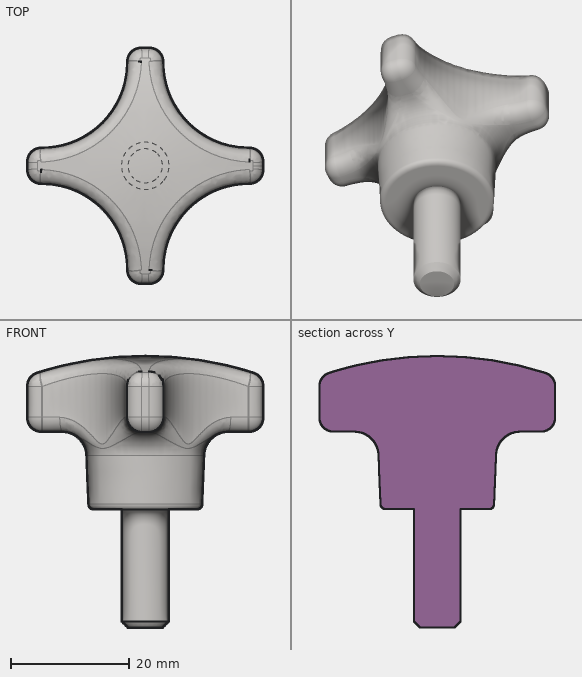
import cadquery as cq
import math

total_height = 46.0
span = 39.97

stud_diameter = 8.0
stud_chamfer = 1.1
stud_overlap = 0.45

hub_bottom_z = 20.0
hub_bottom_radius = 9.6
hub_top_radius = 10.0
hub_edge_fillet = 0.9

arm_bottom_z = 33.1
arm_half_width = 3.1
scallop_center = 17.4
dome_radius = 60.0
flare_radius = 4.0
tip_corner_radius = 2.5
rim_fillet = 2.5
blank_margin = 0.45

top_edge_zone = 4.6
bottom_edge_zone = 0.45

tip = span / 2
scallop_radius = scallop_center - arm_half_width
rim_min_radius = hub_top_radius + 0.9
flare_bottom_z = arm_bottom_z - flare_radius
blank_radius = math.hypot(tip, arm_half_width) + blank_margin
blank_edge_z = total_height - dome_radius + math.sqrt(dome_radius**2 - blank_radius**2)
dome_mid_radius = blank_radius / 2
dome_mid_z = total_height - dome_radius + math.sqrt(dome_radius**2 - dome_mid_radius**2)


def plan_radius(edge):
    """Distance of an edge's center from the part's axis."""
    center = edge.Center()
    return math.hypot(center.x, center.y)


def round_rim(body, low_z, high_z):
    """Round the outline edges of the arms whose centers lie between two heights."""
    rim = body.edges().filter(
        lambda edge: low_z < edge.Center().z < high_z and plan_radius(edge) > rim_min_radius
    )
    return body.newObject(rim.vals()).fillet(rim_fillet)


def turned_blank():
    """Domed disc flaring down into the tapered hub."""
    flare_outer_radius = hub_top_radius + flare_radius
    flare_mid_offset = flare_radius * math.sqrt(0.5)
    flare_mid = (flare_outer_radius - flare_mid_offset, flare_bottom_z + flare_mid_offset)
    return (
        cq.Workplane("XZ")
        .moveTo(0, hub_bottom_z)
        .lineTo(hub_bottom_radius, hub_bottom_z)
        .lineTo(hub_top_radius, flare_bottom_z)
        .threePointArc(flare_mid, (flare_outer_radius, arm_bottom_z))
        .lineTo(blank_radius, arm_bottom_z)
        .lineTo(blank_radius, blank_edge_z)
        .threePointArc((dome_mid_radius, dome_mid_z), (0, total_height))
        .close()
        .revolve(360, (0, 0, 0), (0, 1, 0))
    )


def arm_prism():
    """Four-armed outline with scalloped flanks and rounded tip corners."""
    scallop_mid = scallop_center - scallop_radius * math.sqrt(0.5)
    outline = cq.Workplane("XY").workplane(offset=hub_bottom_z).moveTo(tip, -arm_half_width)

    def turned(x, y, quarter):
        angle = quarter * math.pi / 2
        return (
            x * math.cos(angle) - y * math.sin(angle),
            x * math.sin(angle) + y * math.cos(angle),
        )

    for quarter in range(4):
        outline = (
            outline.lineTo(*turned(tip, arm_half_width, quarter))
            .lineTo(*turned(scallop_center, arm_half_width, quarter))
            .threePointArc(
                turned(scallop_mid, scallop_mid, quarter),
                turned(arm_half_width, scallop_center, quarter),
            )
            .lineTo(*turned(arm_half_width, tip, quarter))
        )
    prism = outline.close().extrude(total_height - hub_bottom_z)
    tip_corners = prism.edges("|Z").filter(lambda edge: plan_radius(edge) > tip)
    return prism.newObject(tip_corners.vals()).fillet(tip_corner_radius)


def stud():
    """Plain round stud with a chamfered free end."""
    length = hub_bottom_z + stud_overlap
    return cq.Workplane("XY").circle(stud_diameter / 2).extrude(length).faces("<Z").chamfer(stud_chamfer)


head = turned_blank().intersect(arm_prism())
head = round_rim(head, total_height - top_edge_zone, total_height)
head = round_rim(head, flare_bottom_z, arm_bottom_z + bottom_edge_zone)
head = head.faces("<Z").edges().fillet(hub_edge_fillet)
result = head.union(stud())